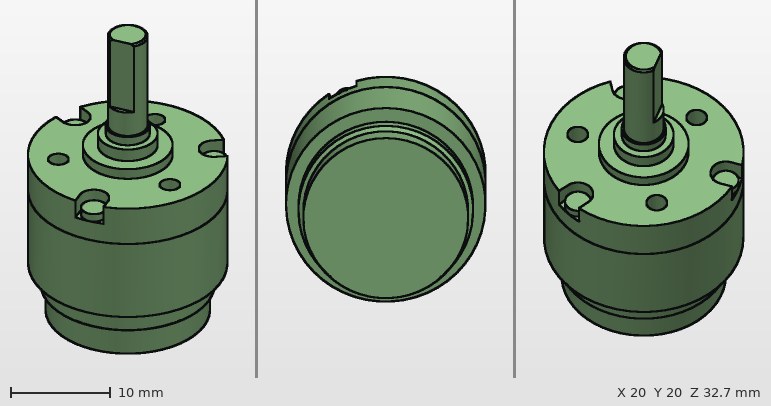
import cadquery as cq

body_diameter = 19.98
cap_diameter = 20.0
base_diameter = 16.5
ring_diameter = 17.5

flange_diameter = 9.0
boss_diameter = 6.0
bearing_diameter = 4.4
shaft_diameter = 4.0

ring_bottom = 2.8
ring_top = 4.8
body_bottom = 5.5
cap_bottom = 14.2
cap_top = 18.4
flange_top = 19.55
boss_top = 20.93
bearing_top = 21.9
shaft_top = 32.7

ring_taper_height = 0.3
shaft_chamfer = 0.2

flat_offset = 1.5
flat_bottom = 24.7

mount_hole_diameter = 2.05
mount_hole_radius = 7.0
mount_hole_angles = (90, 210, 330)
mount_hole_depth = cap_top - cap_bottom

notch_angles = (30, 150, 270)
notch_radius = 8.7
notch_width = 3.05
notch_depth = 2.0
head_diameter = 2.58
head_height = 0.88
notch_floor = cap_top - notch_depth


def cylinder(diameter, bottom, top):
    """Upright cylinder on the Z axis."""
    return cq.Workplane("XY").workplane(offset=bottom).circle(diameter / 2).extrude(top - bottom)


def make_ring():
    """Raised ring whose underside tapers in to the base."""
    profile = [
        (0, ring_bottom),
        (base_diameter / 2, ring_bottom),
        (ring_diameter / 2, ring_bottom + ring_taper_height),
        (ring_diameter / 2, ring_top),
        (0, ring_top),
    ]
    return cq.Workplane("XZ").polyline(profile).close().revolve(360, (0, 0, 0), (0, 1, 0))


def make_shaft():
    """Output shaft with a chamfered tip and a D-cut."""
    shaft = cylinder(shaft_diameter, bearing_top, shaft_top).faces(">Z").chamfer(shaft_chamfer)
    flat_cut = (
        cq.Workplane("XY")
        .box(shaft_diameter, shaft_diameter, shaft_top - flat_bottom, centered=(True, False, False))
        .translate((0, -flat_offset - shaft_diameter, flat_bottom))
    )
    return shaft.cut(flat_cut)


def make_notch(angle):
    """Cutter with a round inner end and straight sides running out past the rim."""
    round_end = cylinder(notch_width, notch_floor, cap_top).translate((notch_radius, 0, 0))
    channel = (
        cq.Workplane("XY")
        .box(notch_width, notch_width, notch_depth, centered=(False, True, False))
        .translate((notch_radius, 0, notch_floor))
    )
    return round_end.union(channel).rotate((0, 0, 0), (0, 0, 1), angle)


def make_screw_head(angle):
    """Round head standing on the notch floor."""
    head = cylinder(head_diameter, notch_floor, notch_floor + head_height)
    return head.translate((notch_radius, 0, 0)).rotate((0, 0, 0), (0, 0, 1), angle)


result = cylinder(base_diameter, 0, body_bottom).union(make_ring())
result = result.union(cylinder(body_diameter, body_bottom, cap_bottom))
result = result.union(cylinder(cap_diameter, cap_bottom, cap_top))

result = result.union(cylinder(flange_diameter, cap_top, flange_top))
result = result.union(cylinder(boss_diameter, flange_top, boss_top))
result = result.union(cylinder(bearing_diameter, boss_top, bearing_top))
result = result.union(make_shaft())

for notch_angle in notch_angles:
    result = result.cut(make_notch(notch_angle))
    result = result.union(make_screw_head(notch_angle))

hole = cylinder(mount_hole_diameter, cap_top - mount_hole_depth, cap_top).translate((mount_hole_radius, 0, 0))
for hole_angle in mount_hole_angles:
    result = result.cut(hole.rotate((0, 0, 0), (0, 0, 1), hole_angle))